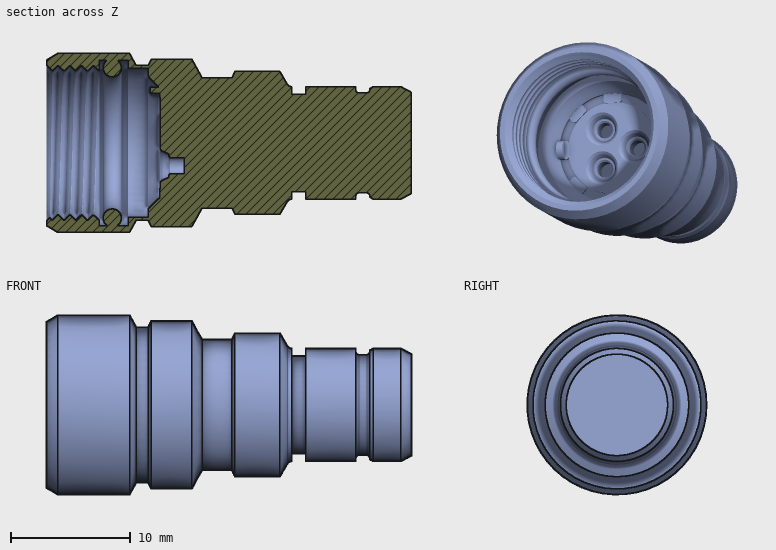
import cadquery as cq
import math

length = 30.5
mouth_radius = 7.5
mouth_chamfer_length = 0.95
mouth_chamfer_depth = 0.57
mouth_grip_end = 6.95
first_groove_start = 7.5
first_groove_radius = 6.5
middle_ring_start = 8.5
middle_ring_end = 12.15
middle_ring_radius = 7.02
second_groove_start = 13.0
second_groove_radius = 5.48
rear_ring_start = 15.5
rear_ring_end = 19.5
rear_ring_radius = 6.0
ring_edge_length = 0.25
collar_fillet_start = 20.05
collar_end = 20.5
collar_radius = 4.72
neck_radius = 4.1
neck_end = 21.65
tail_radius = 4.72
tail_groove_start = 25.85
tail_groove_end = 27.0
tail_groove_radius = 4.2
tail_groove_fillet = 0.25
tail_lip_radius = 4.55
tail_lip_length = 0.3
tail_chamfer_start = 29.6
end_radius = 4.24

mouth_bore_radius = 6.5
thread_crest_radius = 6.0
thread_depth = 0.45
thread_pitch = 0.98
thread_crest_width = 0.06
thread_overlap = 0.1
thread_turns = 5.5
thread_start_angle = 215
thread_start = thread_pitch * (thread_start_angle / 360 - 1)
lead_in_length = mouth_bore_radius - thread_crest_radius
seal_inner_radius = 5.5
seal_section_radius = 0.78
seal_centre_radius = seal_inner_radius + seal_section_radius
seal_centre_x = 5.5
seal_groove_start = 4.45
seal_groove_radius = 6.9
seal_groove_end = 6.8

relief_radius = 6.2
relief_end = 8.5
seat_radius = 5.5
socket_radius = 4.62
shoulder_x = relief_end + seat_radius - socket_radius
insert_radius = 3.87
insert_face_x = shoulder_x + 0.1
gap_floor_x = shoulder_x + 0.3

key_width = 1.57
key_face_x = shoulder_x + 0.05
key_outer_radius = 4.68
key_inner_radius = 3.8
key_corner = 0.17
slanted_key_inner_radius = 3.9
nose_inner_radius = 4.13
straight_key_angles = (0, 90, 180, 270)
slanted_key_angles = (45, 315)

contact_count = 3
contact_circle_radius = 1.9
countersink_radius = 1.4
countersink_depth = 0.2
countersink_floor_radius = 1.2
contact_face_depth = 0.7
contact_radius = 0.97
contact_chamfer_radius = 0.8
contact_hole_radius = 0.65
contact_hole_depth = 2.0


def revolve_about_x(profile):
    """Turn a closed XY profile a full turn about the X axis."""
    return profile.close().revolve(360, (0, 0, 0), (1, 0, 0))


def outer_body():
    """Solid sleeve with its grips, grooves and chamfers."""
    fillet = tail_groove_fillet
    collar_fillet = collar_end - collar_fillet_start
    shoulder_direction = math.radians(60)
    fillet_tangent = collar_fillet * math.tan(shoulder_direction / 2)
    corner_x = collar_end - fillet_tangent
    fillet_top_x = corner_x - fillet_tangent * math.cos(shoulder_direction)
    fillet_top_r = collar_radius + fillet_tangent * math.sin(shoulder_direction)
    fillet_mid_x = collar_end - collar_fillet * math.sin(shoulder_direction / 2)
    fillet_mid_r = collar_radius + collar_fillet * (1 - math.cos(shoulder_direction / 2))
    arc_offset = fillet * (1 - math.sqrt(0.5))
    profile = (
        cq.Workplane("XY")
        .moveTo(0, 0)
        .lineTo(0, mouth_radius - mouth_chamfer_depth)
        .lineTo(mouth_chamfer_length, mouth_radius)
        .lineTo(mouth_grip_end, mouth_radius)
        .lineTo(first_groove_start, first_groove_radius)
        .lineTo(middle_ring_start, first_groove_radius)
        .lineTo(middle_ring_start + ring_edge_length, middle_ring_radius)
        .lineTo(middle_ring_end, middle_ring_radius)
        .lineTo(second_groove_start, second_groove_radius)
        .lineTo(rear_ring_start, second_groove_radius)
        .lineTo(rear_ring_start + ring_edge_length, rear_ring_radius)
        .lineTo(rear_ring_end, rear_ring_radius)
        .lineTo(fillet_top_x, fillet_top_r)
        .threePointArc((fillet_mid_x, fillet_mid_r), (collar_end, collar_radius))
        .lineTo(collar_end, neck_radius)
        .lineTo(neck_end, neck_radius)
        .lineTo(neck_end, tail_radius)
        .lineTo(tail_groove_start, tail_radius)
        .lineTo(tail_groove_start, tail_groove_radius + fillet)
        .threePointArc(
            (tail_groove_start + arc_offset, tail_groove_radius + arc_offset),
            (tail_groove_start + fillet, tail_groove_radius),
        )
        .lineTo(tail_groove_end - fillet, tail_groove_radius)
        .threePointArc(
            (tail_groove_end - arc_offset, tail_groove_radius + arc_offset),
            (tail_groove_end, tail_groove_radius + fillet),
        )
        .lineTo(tail_groove_end, tail_lip_radius)
        .lineTo(tail_groove_end + tail_lip_length, tail_radius)
        .lineTo(tail_chamfer_start, tail_radius)
        .lineTo(length, end_radius)
        .lineTo(length, 0)
    )
    return revolve_about_x(profile)


def mouth_cavity():
    """Smooth bore, seal groove, relief, tapered seat and socket down to the gap floor."""
    profile = (
        cq.Workplane("XY")
        .moveTo(0, 0)
        .lineTo(0, mouth_bore_radius)
        .lineTo(lead_in_length, thread_crest_radius)
        .lineTo(seal_groove_start, thread_crest_radius)
        .lineTo(seal_groove_start, seal_groove_radius)
        .lineTo(seal_groove_end, seal_groove_radius)
        .lineTo(seal_groove_end, relief_radius)
        .lineTo(relief_end, relief_radius)
        .lineTo(relief_end, seat_radius)
        .lineTo(shoulder_x, socket_radius)
        .lineTo(gap_floor_x, socket_radius)
        .lineTo(gap_floor_x, 0)
    )
    return revolve_about_x(profile)


def thread_groove():
    """Right-hand V groove that runs from the mouth into the seal groove."""
    half_width = (thread_pitch - thread_crest_width) / 2
    path = cq.Wire.makeHelix(thread_pitch, thread_turns * thread_pitch, thread_crest_radius)
    groove = (
        cq.Workplane("XZ")
        .moveTo(thread_crest_radius + thread_depth, 0)
        .lineTo(thread_crest_radius, half_width)
        .lineTo(thread_crest_radius - thread_overlap, half_width)
        .lineTo(thread_crest_radius - thread_overlap, -half_width)
        .lineTo(thread_crest_radius, -half_width)
        .close()
        .sweep(cq.Workplane(path), isFrenet=True)
    )
    groove = groove.rotate((0, 0, 0), (1, 1, 1), 120)
    groove = groove.rotate((0, 0, 0), (1, 0, 0), thread_start_angle)
    return groove.translate((thread_start, 0, 0))


def seal_ring():
    """Round-section seal seated in its groove behind the thread."""
    section = cq.Workplane("XY").center(seal_centre_x, seal_centre_radius).circle(seal_section_radius)
    axis_start = (-seal_centre_x, -seal_centre_radius, 0)
    axis_end = (1 - seal_centre_x, -seal_centre_radius, 0)
    return section.revolve(360, axis_start, axis_end)


def insert_core():
    """Cylindrical insert that carries the contacts."""
    core = cq.Workplane("YZ").workplane(offset=insert_face_x)
    return core.circle(insert_radius).extrude(gap_floor_x - insert_face_x)


def key(inner_radius, angle):
    """Radial key on +Y turned by angle, with its inner corners cut off."""
    half_width = key_width / 2
    block = (
        cq.Workplane("YZ")
        .workplane(offset=key_face_x)
        .moveTo(key_outer_radius, -half_width)
        .lineTo(inner_radius + key_corner, -half_width)
        .lineTo(inner_radius, key_corner - half_width)
        .lineTo(inner_radius, half_width - key_corner)
        .lineTo(inner_radius + key_corner, half_width)
        .lineTo(key_outer_radius, half_width)
        .close()
        .extrude(gap_floor_x - key_face_x)
    )
    return block.rotate((0, 0, 0), (1, 0, 0), angle)


def key_nose():
    """Half-round nose in front of the +Y key."""
    nose = cq.Workplane("XZ", origin=(key_face_x, nose_inner_radius, 0)).circle(key_width / 2)
    return nose.extrude(nose_inner_radius - key_outer_radius)


def contact_cavity(angle):
    """Countersink, contact face and contact hole on the contact circle."""
    hole_start = contact_face_depth + contact_chamfer_radius - contact_hole_radius
    profile = (
        cq.Workplane("XY")
        .moveTo(0, 0)
        .lineTo(0, countersink_radius)
        .lineTo(countersink_depth, countersink_floor_radius)
        .lineTo(contact_face_depth, contact_radius)
        .lineTo(contact_face_depth, contact_chamfer_radius)
        .lineTo(hole_start, contact_hole_radius)
        .lineTo(contact_hole_depth, contact_hole_radius)
        .lineTo(contact_hole_depth, 0)
    )
    cavity = revolve_about_x(profile).translate((insert_face_x, -contact_circle_radius, 0))
    return cavity.rotate((0, 0, 0), (1, 0, 0), angle)


body = outer_body().cut(mouth_cavity()).cut(thread_groove()).union(seal_ring()).union(insert_core())
for key_angle in straight_key_angles:
    body = body.union(key(key_inner_radius, key_angle))
for key_angle in slanted_key_angles:
    body = body.union(key(slanted_key_inner_radius, key_angle))
body = body.union(key_nose())
for contact in range(contact_count):
    body = body.cut(contact_cavity(contact * 360 / contact_count))

result = body